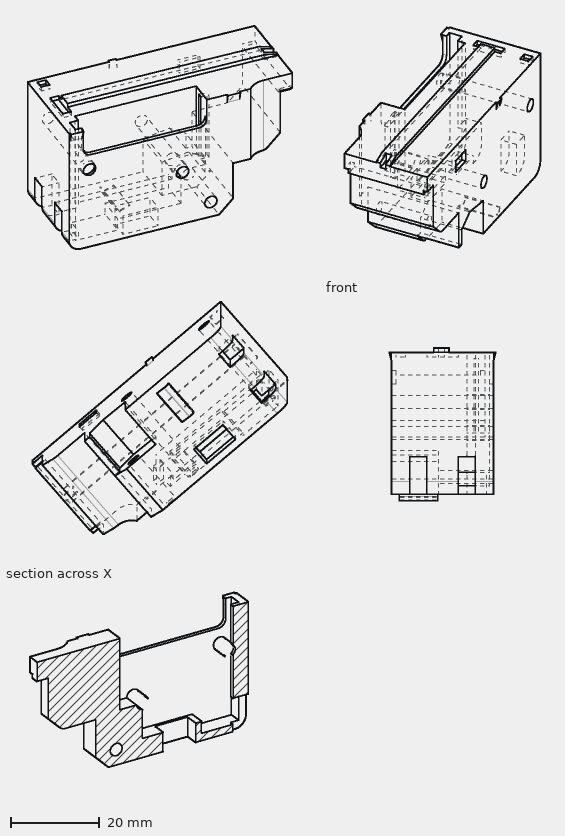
import cadquery as cq
import math

half_width = 11.5
length = 56.0
height = 32.0
side_right = half_width
side_left = -half_width
wall = 1.0

rear_wall_y = 53.0
lip_bottom_z = 28.0
upper_step_z = 13.0
lower_rear_y = 40.5
rear_chamfer = 3.7
rear_chamfer_blend = 2.0
lower_chamfer = 3.5
front_edge_radius = 3.0

hook_left = side_left + wall
hook_right = 8.5
hook_height = 1.0

relief_radius = 5.0
relief_depth = 2.0
relief_y = 48.8

rail_left = -2.0
rail_right = 1.5
rail_height = 1.0
rail_ramp_end_height = 0.15
rail_front_y = 4.1
rail_notch_width = 1.4
rail_notch_depth = 1.0

front_wall = 2.0
top_pocket_depth = 1.0
rail_pocket_half_width = 3.5
square_pocket_left = -10.5
square_pocket_right = -8.4

hole_diameter = 3.0
front_hole = (5.05, 20.9)
middle_hole = (28.0, 13.9)
rear_hole = (35.0, 4.0)
tube_radius = 1.7

left_pocket_depth = 10.5
left_pocket_rear_y = 39.0
left_pocket_peak = (35.0, 10.0)
left_pocket_front = (28.4, 9.0)
left_pocket_rear_z = 7.5
window_y = (37.0, 42.0)
window_z = (25.0, 28.0)

slot_inner = 3.5
slot_outer = 7.4
slot_height = 8.5
slot_depth = rail_front_y

well_left = 5.5
well_right = side_right - wall
well_rear_y = 34.0
well_front_y = rail_front_y
well_floor_z = 2.0
ledge_z = 5.0
ledge_y = 12.4
opening_y = (14.0, 22.6)
opening_right = 9.85
groove_x = (7.0, 8.1)
groove_top_z = 30.7
groove_depth = 2.0

sill_z = 24.9
sill_front_y = 3.5
sill_corner_radius = 2.0

wedge_reach = 0.5
wedge_height = 2.0
left_wedge_y = (20.1, 22.0)
right_wedges_y = ((0.35, 3.4), (39.0, 42.1))

spring_left = -9.8
spring_right = -1.05
spring_drop = 1.44
spring_thickness = 0.2
spring_root_y = 17.0
spring_bend_radius = 1.0
spring_slope = math.radians(20)
spring_leaf_length = 2.3


def box(x, y, z):
    """Box from (low, high) pairs along each axis."""
    size = (x[1] - x[0], y[1] - y[0], z[1] - z[0])
    return cq.Workplane("XY").box(*size, centered=False).translate((x[0], y[0], z[0]))


def side_prism(points, x_from, x_to):
    """Closed (Y, Z) outline extruded along X."""
    return cq.Workplane("YZ").polyline(points).close().extrude(x_to - x_from).translate((x_from, 0, 0))


def side_rod(centre, radius, x_from, x_to):
    """Round bar along X about a (Y, Z) centre."""
    return cq.Workplane("YZ").center(*centre).circle(radius).extrude(x_to - x_from).translate((x_from, 0, 0))


def make_block():
    outline = [
        (0, 0),
        (lower_rear_y - lower_chamfer, 0),
        (lower_rear_y, lower_chamfer),
        (lower_rear_y, upper_step_z),
        (rear_wall_y - rear_chamfer, upper_step_z),
        (rear_wall_y, upper_step_z + rear_chamfer),
        (rear_wall_y, lip_bottom_z),
        (length, lip_bottom_z),
        (length, height),
        (0, height),
    ]
    block = side_prism(outline, side_left, side_right)
    front_edge = cq.selectors.NearestToPointSelector((0, 0, 0))
    block = block.edges(front_edge).fillet(front_edge_radius)
    blend_edge = cq.selectors.NearestToPointSelector((0, rear_wall_y - rear_chamfer, upper_step_z))
    block = block.edges(blend_edge).fillet(rear_chamfer_blend)
    hook = box((hook_left, hook_right), (rear_wall_y, length), (lip_bottom_z - hook_height, lip_bottom_z))
    return block.union(hook)


def make_corner_relief():
    narrow_x = side_right - relief_depth
    scoop_x = narrow_x + relief_radius
    scoop = cq.Workplane("XY").center(scoop_x, relief_y).circle(relief_radius).extrude(height)
    return box((narrow_x, scoop_x), (relief_y, length), (0, height)).union(scoop)


def make_rail():
    outline = [
        (rail_front_y, height - top_pocket_depth),
        (length, height - top_pocket_depth),
        (length, height + rail_ramp_end_height),
        (rear_wall_y, height + rail_height),
        (rail_front_y, height + rail_height),
    ]
    return side_prism(outline, rail_left, rail_right)


def make_rail_notch():
    middle = (rail_left + rail_right) / 2
    span = (middle - rail_notch_width / 2, middle + rail_notch_width / 2)
    return box(span, (rear_wall_y, length), (height - rail_notch_depth, height + rail_height))


def make_top_pockets():
    y = (front_wall, rail_front_y)
    z = (height - top_pocket_depth, height)
    rail_pocket = box((-rail_pocket_half_width, rail_pocket_half_width), y, z)
    square_pocket = box((square_pocket_left, square_pocket_right), y, z)
    return rail_pocket.union(square_pocket)


def make_left_recesses():
    outline = [
        (left_pocket_front[0], 0),
        left_pocket_front,
        left_pocket_peak,
        (left_pocket_rear_y, left_pocket_rear_z),
        (left_pocket_rear_y, lower_chamfer),
        (lower_rear_y, lower_chamfer),
        (lower_rear_y, 0),
    ]
    pocket = side_prism(outline, side_left, side_left + left_pocket_depth)
    window = box((side_left, side_left + wall), window_y, window_z)
    return pocket.union(window)


def make_front_slots():
    z = (0, slot_height)
    left = box((-slot_outer, -slot_inner), (0, slot_depth), z)
    right = box((slot_inner, slot_outer), (0, slot_depth), z)
    return left.union(right)


def make_well():
    x = (well_left, well_right)
    middle_y = middle_hole[0]
    well = box(x, (well_front_y, ledge_y), (well_floor_z, height))
    well = well.union(box((slot_outer, well_right), (front_wall, well_front_y), (well_floor_z, height)))
    well = well.union(box(x, (ledge_y, middle_y), (ledge_z, height)))
    well = well.union(box(x, (middle_y, well_rear_y), (middle_hole[1], height)))
    well = well.union(box((well_left, opening_right), opening_y, (0, height)))
    tunnel_x = (slot_inner, well_left)
    well = well.union(box(tunnel_x, (slot_depth, ledge_y), (well_floor_z, slot_height)))
    well = well.union(box(tunnel_x, (ledge_y, middle_y), (ledge_z, slot_height)))
    groove = box(groove_x, (well_rear_y, well_rear_y + groove_depth), (middle_hole[1], groove_top_z))
    return well.union(groove)


def make_wall_cutout():
    y = (sill_front_y, well_rear_y)
    cutout = box((well_right, side_right), y, (sill_z, height))
    return cutout.edges("|X and <Z").fillet(sill_corner_radius)


def make_wedge(side, y):
    """Latch wedge on the left (-1) or right (+1) side, widest at the top."""
    root = side * half_width
    outline = [(root, height), (root + side * wedge_reach, height), (root, height - wedge_height)]
    return cq.Workplane("XZ").polyline(outline).close().extrude(y[0] - y[1]).translate((0, y[0], 0))


def make_spring():
    """Thin leaf: drops from the underside, bends round and rises to a free tip."""
    outer = spring_bend_radius
    inner = outer - spring_thickness
    centre_y = spring_root_y + outer
    centre_z = outer - spring_drop

    def on_bend(radius, angle):
        return (centre_y + radius * math.cos(angle), centre_z + radius * math.sin(angle))

    def along_leaf(point):
        run = spring_leaf_length * math.cos(spring_slope)
        rise = spring_leaf_length * math.sin(spring_slope)
        return (point[0] + run, point[1] + rise)

    leaf_angle = spring_slope - math.pi / 2
    mid_angle = (leaf_angle - math.pi) / 2
    outer_end = on_bend(outer, leaf_angle)
    inner_end = on_bend(inner, leaf_angle)
    root_z = spring_thickness
    profile = (
        cq.Workplane("YZ")
        .moveTo(spring_root_y, root_z)
        .lineTo(spring_root_y, centre_z)
        .threePointArc(on_bend(outer, mid_angle), outer_end)
        .lineTo(*along_leaf(outer_end))
        .lineTo(*along_leaf(inner_end))
        .lineTo(*inner_end)
        .threePointArc(on_bend(inner, mid_angle), (centre_y - inner, centre_z))
        .lineTo(centre_y - inner, root_z)
        .close()
    )
    return profile.extrude(spring_right - spring_left).translate((spring_left, 0, 0))


part = make_block()
part = part.cut(make_corner_relief())
part = part.cut(make_top_pockets())
part = part.union(make_rail())
part = part.cut(make_rail_notch())
part = part.cut(make_left_recesses())
part = part.cut(make_front_slots())
part = part.cut(make_well())
part = part.cut(make_wall_cutout())
for tube_centre in (front_hole, middle_hole):
    part = part.union(side_rod(tube_centre, tube_radius, well_left, well_right))
for hole_centre in (front_hole, middle_hole, rear_hole):
    part = part.cut(side_rod(hole_centre, hole_diameter / 2, side_left, side_right))
part = part.union(make_wedge(-1, left_wedge_y))
for wedge_y in right_wedges_y:
    part = part.union(make_wedge(1, wedge_y))
part = part.union(make_spring())

result = part